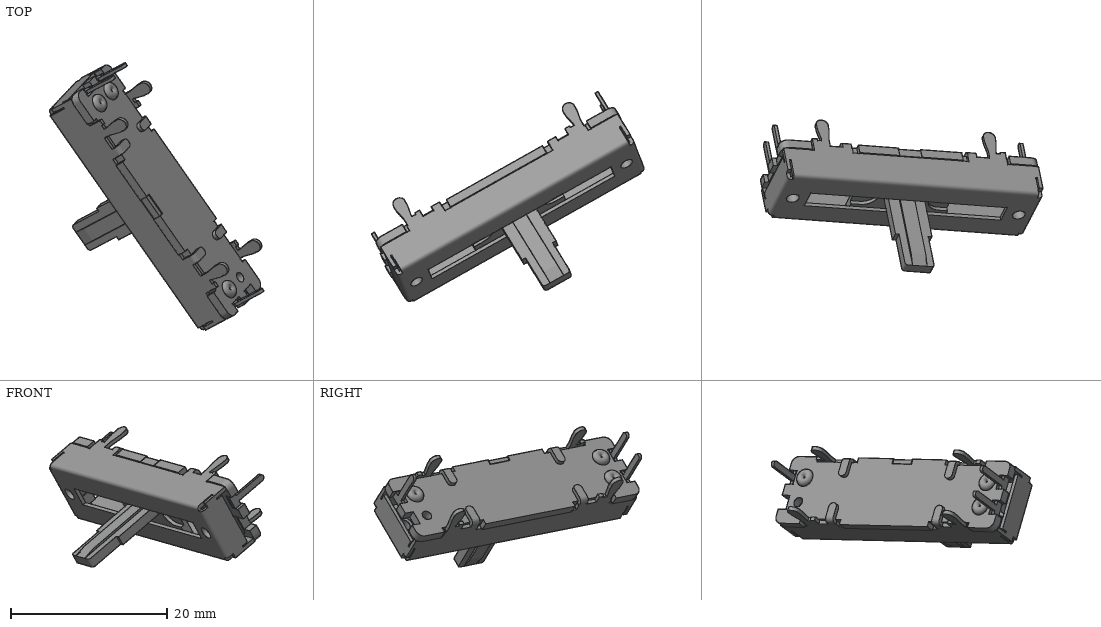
import cadquery as cq

POSITION = (-2.376, -1.32, -2.115)
LENGTH_DIRECTION = (0.56484, -0.80981, -0.16045)
PIN_DIRECTION = (0.7049, 0.37204, 0.60391)

SHEET = 0.5
SHELL_LENGTH = 34.9
SHELL_WIDTH = 8.97
BEND_RADIUS = 0.5
SIDE_HEIGHT = 4.55
END_HEIGHT = 3.6
END_TOP_WIDTH = 7.6
CORNER_LENGTH = 0.7
CORNER_HEIGHT = 2.75
CORNER_RELIEF = 1.05
SLOT_LENGTH = 26.9
SLOT_WIDTH = 2.64
SCREW_SPACING = 30.92
SCREW_DIAMETER = 1.65
COLLAR_DIAMETER = 2.6
COLLAR_HEIGHT = 1.7

EAR_START = 7.92
EAR_END = 13.15
EAR_HEIGHT = 5.4
PEG_X_NEAR = 11.43
PEG_X_FAR = 12.47
PEG_NECK = 1.06
PEG_HEAD = 1.6
PEG_NECK_TOP = 6.5
PEG_HEAD_LOW = 8.0
PEG_HEAD_TOP = 8.55
PEG_TIP = 9.57
STEP_OFFSET = 1.43
STEP_WIDTH = 0.7
STEP_HEIGHT = 6.45
STEP_NOTCH_HEIGHT = 6.2
TAB_X = 8.55
TAB_WIDTH = 1.2
TAB_SHEET = 0.55
TAB_BEND_RADIUS = 0.6
TAB_REACH = 1.9
TAB_END_RADIUS = 0.55

BOARD_LENGTH = 35.2
BOARD_WIDTH = SHELL_WIDTH - 2 * SHEET
BOARD_FLANGE_WIDTH = 9.36
BOARD_BOTTOM = SIDE_HEIGHT
BOARD_TOP = 5.77
BOARD_CORNER_RADIUS = 1.0
MIDDLE_FLANGE_LENGTH = 14.15
END_FLANGE_LENGTH = 4.05
GATE_X = -0.08
GATE_LENGTH = 3.05
GATE_RECESS = 0.06
LEDGE_DEPTH = 0.15
RIVET_X = 14.7
RIVET_Y = 1.7
RIVET_RING_RADIUS = 0.62
RIVET_BEAD_RADIUS = 0.57
BOARD_HOLE_DIAMETER = 1.3
TRACK_THICKNESS = 0.04
TRACK_INSIDE = 1.87
TRACK_OUTSIDE = 3.53
TRACK_HALF_LENGTH = 16.15
TRACK_CORNER_RADIUS = 0.4
TRACK_WAIST_START = 10.8
TRACK_WAIST_END = 13.75
TRACK_WAIST_DEPTH = 0.75
TRACK_PAD_INSIDE = 0.7

TERMINAL_PITCH = 3.5
TERMINAL_SHEET = 0.42
TERMINAL_X = 16.82
TERMINAL_BASE_WIDTH = 1.95
TERMINAL_SHOULDER = 5.57
TERMINAL_PIN_WIDTH = 0.85
TERMINAL_TIP = 10.25
NOTCH_BACK = 16.35

LEVER_THICKNESS = 1.3
LEVER_ROOT_WIDTH = 5.0
LEVER_TIP_WIDTH = 4.0
LEVER_STEP = -5.1
LEVER_TIP = -10.05
LEVER_CORNER_RADIUS = 0.4
RIDGE_WIDTH = 2.0
RIDGE_HEIGHT = 0.27
RIDGE_RAMP_START = -8.4
CARRIAGE_LENGTH = 13.2
CARRIAGE_WIDTH = 7.2
CARRIAGE_BOTTOM = 1.4
CARRIAGE_TOP = 2.5
POCKET_RADIUS = 1.95
POCKET_DEPTH = 0.5
POCKET_INNER_END = 3.4


def block(x_range, y_range, z_range):
    """Box between two limits on each axis, in either order."""
    lows = [min(limits) for limits in (x_range, y_range, z_range)]
    sizes = [abs(limits[1] - limits[0]) for limits in (x_range, y_range, z_range)]
    return cq.Workplane("XY").box(*sizes, centered=False).translate(tuple(lows))


def make_shell():
    """Folded tray: front plate, two long sides and two end flaps."""
    half_length = SHELL_LENGTH / 2
    half_width = SHELL_WIDTH / 2
    inner_length = SHELL_LENGTH - 2 * SHEET
    inner_width = SHELL_WIDTH - 2 * SHEET
    shell = (
        cq.Workplane("XY")
        .box(SHELL_LENGTH, SHELL_WIDTH, SIDE_HEIGHT, centered=(True, True, False))
        .faces("<Z").edges().fillet(BEND_RADIUS)
        .cut(cq.Workplane("XY", origin=(0, 0, SHEET))
             .box(inner_length, inner_width, SIDE_HEIGHT, centered=(True, True, False)))
    )
    corner_start = half_length - CORNER_LENGTH
    end_inside = half_length - SHEET
    half_end_top = END_TOP_WIDTH / 2
    for x_side in (-1, 1):
        end_range = (x_side * end_inside, x_side * half_length)
        shell = shell.cut(block(end_range, (-half_end_top, half_end_top), (END_HEIGHT, SIDE_HEIGHT)))
        for y_side in (-1, 1):
            wall = (y_side * (half_width - SHEET), y_side * half_width)
            slit = (y_side * half_end_top, y_side * (half_width - SHEET))
            shell = shell.cut(block(end_range, slit, (CORNER_HEIGHT, SIDE_HEIGHT)))
            wall_gap = (x_side * corner_start, x_side * end_inside)
            shell = shell.cut(block(wall_gap, wall, (0, CORNER_HEIGHT)))
            relief = (y_side * half_end_top, y_side * half_width)
            shell = shell.cut(block((x_side * corner_start, x_side * half_length), relief, (0, CORNER_RELIEF)))
    screw_points = [(-SCREW_SPACING / 2, 0), (SCREW_SPACING / 2, 0)]
    collars = cq.Workplane("XY").pushPoints(screw_points).circle(COLLAR_DIAMETER / 2).extrude(COLLAR_HEIGHT)
    screw_holes = cq.Workplane("XY").pushPoints(screw_points).circle(SCREW_DIAMETER / 2).extrude(COLLAR_HEIGHT)
    slot = cq.Workplane("XY").rect(SLOT_LENGTH, SLOT_WIDTH).extrude(SHEET)
    return shell.union(collars).cut(screw_holes).cut(slot)


def make_ear(peg_x, step_side):
    """Upward extension of the near side wall at +X, with a snap peg and a step beside it."""
    wall = (-SHELL_WIDTH / 2, SHEET - SHELL_WIDTH / 2)
    ear = block((EAR_START, EAR_END), wall, (SIDE_HEIGHT, EAR_HEIGHT))
    step_x = peg_x + step_side * STEP_OFFSET
    step = block((step_x - STEP_WIDTH / 2, step_x + STEP_WIDTH / 2), wall, (SIDE_HEIGHT, STEP_HEIGHT))
    link = block((peg_x, step_x), wall, (SIDE_HEIGHT, STEP_NOTCH_HEIGHT))
    neck = PEG_NECK / 2
    head = PEG_HEAD / 2
    peg = (
        cq.Workplane("XZ", origin=(peg_x, wall[1], 0))
        .moveTo(-neck, SIDE_HEIGHT)
        .lineTo(-neck, PEG_NECK_TOP)
        .lineTo(-head, PEG_HEAD_LOW)
        .lineTo(-head, PEG_HEAD_TOP)
        .threePointArc((0, PEG_TIP), (head, PEG_HEAD_TOP))
        .lineTo(head, PEG_HEAD_LOW)
        .lineTo(neck, PEG_NECK_TOP)
        .lineTo(neck, SIDE_HEIGHT)
        .close()
        .extrude(SHEET)
    )
    return ear.union(step).union(link).union(peg)


def make_tab():
    """Tongue of the near side wall at +X, bent over the back of the board."""
    outside = -SHELL_WIDTH / 2
    inside = outside + SHEET
    tab_top = BOARD_TOP + TAB_SHEET
    bend_start = tab_top - TAB_BEND_RADIUS
    bend_end = outside + TAB_BEND_RADIUS
    diagonal = TAB_BEND_RADIUS * 0.5 ** 0.5
    return (
        cq.Workplane("YZ", origin=(TAB_X - TAB_WIDTH / 2, 0, 0))
        .moveTo(outside, SIDE_HEIGHT)
        .lineTo(outside, bend_start)
        .threePointArc((bend_end - diagonal, bend_start + diagonal), (bend_end, tab_top))
        .lineTo(-TAB_REACH, tab_top)
        .lineTo(-TAB_REACH, BOARD_TOP)
        .lineTo(inside, BOARD_TOP)
        .lineTo(inside, SIDE_HEIGHT)
        .close()
        .extrude(TAB_WIDTH)
        .faces(">Y").edges("|Z").fillet(TAB_END_RADIUS)
    )


def make_track():
    """Thin track on the underside of the board, waisted beside the pad at its +X end."""
    waist = TRACK_INSIDE + TRACK_WAIST_DEPTH
    return (
        cq.Workplane("XY", origin=(0, 0, BOARD_BOTTOM))
        .polyline([
            (-TRACK_HALF_LENGTH, TRACK_OUTSIDE), (-TRACK_HALF_LENGTH, TRACK_INSIDE),
            (TRACK_WAIST_START, TRACK_INSIDE), (TRACK_WAIST_START, waist),
            (TRACK_WAIST_END, waist), (TRACK_WAIST_END, TRACK_PAD_INSIDE),
            (TRACK_HALF_LENGTH, TRACK_PAD_INSIDE), (TRACK_HALF_LENGTH, TRACK_OUTSIDE),
        ])
        .close()
        .extrude(-TRACK_THICKNESS)
        .edges("|Z and >Y").fillet(TRACK_CORNER_RADIUS)
    )


def make_board():
    """Terminal board with side flanges resting on the shell walls."""
    thickness = BOARD_TOP - BOARD_BOTTOM
    base = cq.Workplane("XY", origin=(0, 0, BOARD_BOTTOM))
    board = (
        base.rect(BOARD_LENGTH, BOARD_FLANGE_WIDTH).extrude(thickness)
        .edges("|Z").fillet(BOARD_CORNER_RADIUS)
    )
    gap_range = (MIDDLE_FLANGE_LENGTH / 2, BOARD_LENGTH / 2 - END_FLANGE_LENGTH)
    for y_side in (-1, 1):
        margin = (y_side * BOARD_WIDTH / 2, y_side * BOARD_FLANGE_WIDTH / 2)
        for x_side in (-1, 1):
            gap = (x_side * gap_range[0], x_side * gap_range[1])
            board = board.cut(block(gap, margin, (BOARD_BOTTOM, BOARD_TOP)))
    gate_x = (GATE_X - GATE_LENGTH / 2, GATE_X + GATE_LENGTH / 2)
    edge = -BOARD_FLANGE_WIDTH / 2
    board = board.cut(block(gate_x, (edge, edge + GATE_RECESS), (BOARD_BOTTOM, BOARD_TOP)))
    board = board.cut(block(gate_x, (edge, -BOARD_WIDTH / 2), (BOARD_TOP - LEDGE_DEPTH, BOARD_TOP)))
    half_notch = TERMINAL_BASE_WIDTH / 2
    for x_side in (-1, 1):
        for y in (-TERMINAL_PITCH / 2, TERMINAL_PITCH / 2):
            notch_x = (x_side * NOTCH_BACK, x_side * BOARD_LENGTH / 2)
            board = board.cut(block(notch_x, (y - half_notch, y + half_notch), (BOARD_BOTTOM, BOARD_TOP)))
    hole = (
        cq.Workplane("XY", origin=(RIVET_X, RIVET_Y, BOARD_BOTTOM - TRACK_THICKNESS))
        .circle(BOARD_HOLE_DIAMETER / 2).extrude(thickness + TRACK_THICKNESS)
    )
    return board.union(make_track()).cut(hole)


def make_rivet(x, y):
    """Rolled rivet head: a half ring bead standing on the back of the board."""
    return (
        cq.Workplane("XZ")
        .moveTo(RIVET_RING_RADIUS - RIVET_BEAD_RADIUS, 0)
        .threePointArc((RIVET_RING_RADIUS, RIVET_BEAD_RADIUS), (RIVET_RING_RADIUS + RIVET_BEAD_RADIUS, 0))
        .close()
        .revolve(360, (0, 0, 0), (0, 1, 0))
        .translate((x, y, BOARD_TOP))
    )


def make_terminal(x, y):
    """Flat terminal: a base filling the board notch and a round-ended pin."""
    half_base = TERMINAL_BASE_WIDTH / 2
    half_pin = TERMINAL_PIN_WIDTH / 2
    return (
        cq.Workplane("YZ", origin=(x - TERMINAL_SHEET / 2, y, 0))
        .moveTo(-half_base, BOARD_BOTTOM)
        .lineTo(-half_base, TERMINAL_SHOULDER)
        .lineTo(-half_pin, TERMINAL_SHOULDER)
        .lineTo(-half_pin, TERMINAL_TIP - half_pin)
        .threePointArc((0, TERMINAL_TIP), (half_pin, TERMINAL_TIP - half_pin))
        .lineTo(half_pin, TERMINAL_SHOULDER)
        .lineTo(half_base, TERMINAL_SHOULDER)
        .lineTo(half_base, BOARD_BOTTOM)
        .close()
        .extrude(TERMINAL_SHEET)
    )


def make_housing():
    """Shell, ears, tabs, board, rivets and terminals as one solid."""
    housing = make_shell().union(make_board())
    near_side = make_ear(PEG_X_NEAR, 1).union(make_tab())
    far_side = make_ear(PEG_X_FAR, -1).union(make_tab()).mirror("XZ")
    for side in (near_side, far_side):
        housing = housing.union(side).union(side.mirror("YZ"))
    for x_side, y_side in ((-1, -1), (-1, 1), (1, -1)):
        housing = housing.union(make_rivet(x_side * RIVET_X, y_side * RIVET_Y))
        housing = housing.union(make_terminal(x_side * TERMINAL_X, y_side * TERMINAL_PITCH / 2))
    return housing


def make_slider():
    """Carriage inside the housing with the ridged lever reaching out through the slot."""
    carriage = cq.Workplane("XY", origin=(0, 0, CARRIAGE_BOTTOM)).rect(CARRIAGE_LENGTH, CARRIAGE_WIDTH)
    carriage = carriage.extrude(CARRIAGE_TOP - CARRIAGE_BOTTOM)
    pocket_centre = POCKET_INNER_END + POCKET_RADIUS
    pocket_z = (CARRIAGE_BOTTOM, CARRIAGE_BOTTOM + POCKET_DEPTH)
    for x_side in (-1, 1):
        round_end = (
            cq.Workplane("XY", origin=(x_side * pocket_centre, 0, CARRIAGE_BOTTOM))
            .circle(POCKET_RADIUS).extrude(POCKET_DEPTH)
        )
        mouth_x = (x_side * pocket_centre, x_side * CARRIAGE_LENGTH / 2)
        mouth = block(mouth_x, (-POCKET_RADIUS, POCKET_RADIUS), pocket_z)
        carriage = carriage.cut(round_end).cut(mouth)

    half_thickness = LEVER_THICKNESS / 2
    y_range = (-half_thickness, half_thickness)
    root = block((-LEVER_ROOT_WIDTH / 2, LEVER_ROOT_WIDTH / 2), y_range, (LEVER_STEP, CARRIAGE_BOTTOM))
    tip = block((-LEVER_TIP_WIDTH / 2, LEVER_TIP_WIDTH / 2), y_range, (LEVER_TIP, LEVER_STEP))
    tip = tip.faces("<Z").edges("|Y").fillet(LEVER_CORNER_RADIUS)
    ridge_face = half_thickness + RIDGE_HEIGHT
    ridges = (
        cq.Workplane("YZ", origin=(-RIDGE_WIDTH / 2, 0, 0))
        .polyline([
            (-half_thickness, LEVER_TIP), (half_thickness, LEVER_TIP),
            (ridge_face, RIDGE_RAMP_START), (ridge_face, CARRIAGE_BOTTOM),
            (-ridge_face, CARRIAGE_BOTTOM), (-ridge_face, RIDGE_RAMP_START),
        ])
        .close()
        .extrude(RIDGE_WIDTH)
    )
    return carriage.union(root).union(tip).union(ridges)


placement = cq.Location(cq.Plane(origin=POSITION, xDir=LENGTH_DIRECTION, normal=PIN_DIRECTION))
housing = make_housing().solids().val().moved(placement)
slider = make_slider().solids().val().moved(placement)

result = cq.Compound.makeCompound([housing, slider])